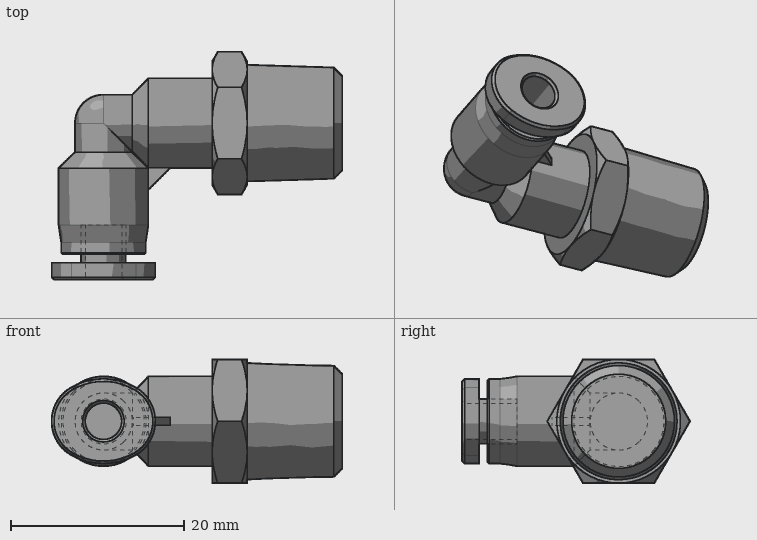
import cadquery as cq
import math


neck_radius = 3.3
body_radius = 5.2
neck_length = 3.35
cone_end = body_radius
x_arm_length = 12.55
y_barrel_end = 11.75
y_taper_end = 13.75
y_arm_length = 15.15
mouth_radius = 4.9
mouth_chamfer = 0.2
rib_leg = 2.5
rib_thickness = 0.9
socket_floor = y_barrel_end

hex_flats = 14.29
hex_corners = hex_flats / math.cos(math.pi / 6)
hex_width = 4.05
hex_face_radius = hex_flats / 2
hex_chamfer_length = 0.65
thread_start_radius = 6.75
thread_taper_angle = math.atan(1 / 32)
thread_length = 11.0
tip_chamfer = 1.0

stem_radius = 2.6
exposed_stem_length = 0.95
flange_thickness = 2.0
flange_half_width = 6.0
flange_half_height = 4.9
flange_end_radius = 4.5
flange_chamfer = 0.3
bore_radius = 2.1
bore_chamfer = 0.3


def make_x_arm():
    """Stepped round arm along +X, with its cone between neck and barrel."""
    profile = [
        (0, 0),
        (0, neck_radius),
        (neck_length, neck_radius),
        (cone_end, body_radius),
        (x_arm_length, body_radius),
        (x_arm_length, 0),
    ]
    return cq.Workplane("XY").polyline(profile).close().revolve(360, (0, 0, 0), (1, 0, 0))


def make_y_arm():
    """Stepped round arm along -Y, narrowing to a chamfered mouth."""
    profile = [
        (0, 0),
        (neck_radius, 0),
        (neck_radius, -neck_length),
        (body_radius, -cone_end),
        (body_radius, -y_barrel_end),
        (mouth_radius, -y_taper_end),
        (mouth_radius, -y_arm_length + mouth_chamfer),
        (mouth_radius - mouth_chamfer, -y_arm_length),
        (0, -y_arm_length),
    ]
    return cq.Workplane("XY").polyline(profile).close().revolve(360, (0, 0, 0), (0, 1, 0))


def make_rib():
    """Thin triangular web in the inner corner between the two barrels."""
    corner = neck_length
    tip = body_radius + rib_leg
    outline = [(corner, -corner), (tip, -corner), (tip, -body_radius), (body_radius, -tip), (corner, -tip)]
    return cq.Workplane("XY").polyline(outline).close().extrude(rib_thickness / 2, both=True)


def make_stem_cylinder(end):
    """Round bar on the tube axis from the socket floor to the given distance from the origin."""
    return (
        cq.Workplane("XZ", origin=(0, -socket_floor, 0))
        .circle(stem_radius)
        .extrude(end - socket_floor)
    )


def make_elbow():
    """Both arms, a ball rounding their outer corner, the rib, and a blind stem socket in the mouth."""
    corner_ball = cq.Workplane("XY").sphere(neck_radius)
    socket = make_stem_cylinder(y_arm_length)
    return make_x_arm().union(make_y_arm()).union(corner_ball).union(make_rib()).cut(socket)


def make_hex():
    """Hexagon with corners on +Y and -Y, both end faces turned down to a circle."""
    hexagon = (
        cq.Workplane("YZ", origin=(x_arm_length, 0, 0))
        .polygon(6, hex_corners)
        .extrude(hex_width)
    )
    corner_radius = hex_corners / 2
    hex_end = x_arm_length + hex_width
    profile = [
        (x_arm_length, 0),
        (x_arm_length, hex_face_radius),
        (x_arm_length + hex_chamfer_length, corner_radius),
        (hex_end - hex_chamfer_length, corner_radius),
        (hex_end, hex_face_radius),
        (hex_end, 0),
    ]
    turned_envelope = cq.Workplane("XY").polyline(profile).close().revolve(360, (0, 0, 0), (1, 0, 0))
    return hexagon.intersect(turned_envelope)


def make_threaded_end():
    """Hex and the tapered thread envelope behind it, as one body."""
    thread_start = x_arm_length + hex_width
    thread_end = thread_start + thread_length
    taper_length = thread_length - tip_chamfer
    taper_end_radius = thread_start_radius - taper_length * math.tan(thread_taper_angle)
    profile = [
        (thread_start, 0),
        (thread_start, thread_start_radius),
        (thread_end - tip_chamfer, taper_end_radius),
        (thread_end, taper_end_radius - tip_chamfer),
        (thread_end, 0),
    ]
    thread = cq.Workplane("XY").polyline(profile).close().revolve(360, (0, 0, 0), (1, 0, 0))
    return make_hex().union(thread)


def draw_flange_oval(plane):
    """Four-arc oval: round ends of one radius, tangent to flatter arcs above and below."""
    end_center = flange_half_width - flange_end_radius
    height_excess = flange_half_height - flange_end_radius
    side_radius = flange_end_radius + (end_center**2 + height_excess**2) / (2 * height_excess)
    side_center = side_radius - flange_half_height
    reach = side_radius / (side_radius - flange_end_radius)
    join_x = end_center * reach
    join_z = side_center * (reach - 1)
    return (
        plane.moveTo(-join_x, join_z)
        .threePointArc((0, flange_half_height), (join_x, join_z))
        .threePointArc((flange_half_width, 0), (join_x, -join_z))
        .threePointArc((0, -flange_half_height), (-join_x, -join_z))
        .threePointArc((-flange_half_width, 0), (-join_x, join_z))
        .close()
    )


def make_button():
    """Release button: a stem filling the elbow socket, an oval flange and a through bore."""
    flange_start = y_arm_length + exposed_stem_length
    button_end = flange_start + flange_thickness
    stem = make_stem_cylinder(flange_start)
    flange = (
        draw_flange_oval(cq.Workplane("XZ", origin=(0, -flange_start, 0)))
        .extrude(flange_thickness)
        .faces("<Y")
        .chamfer(flange_chamfer)
    )
    bore_profile = [
        (0, -socket_floor),
        (bore_radius, -socket_floor),
        (bore_radius, -button_end + bore_chamfer),
        (bore_radius + bore_chamfer, -button_end),
        (0, -button_end),
    ]
    bore = cq.Workplane("XY").polyline(bore_profile).close().revolve(360, (0, 0, 0), (0, 1, 0))
    return stem.union(flange).cut(bore)


elbow = make_elbow()
threaded_end = make_threaded_end()
button = make_button()

result = cq.Compound.makeCompound([elbow.val(), threaded_end.val(), button.val()])